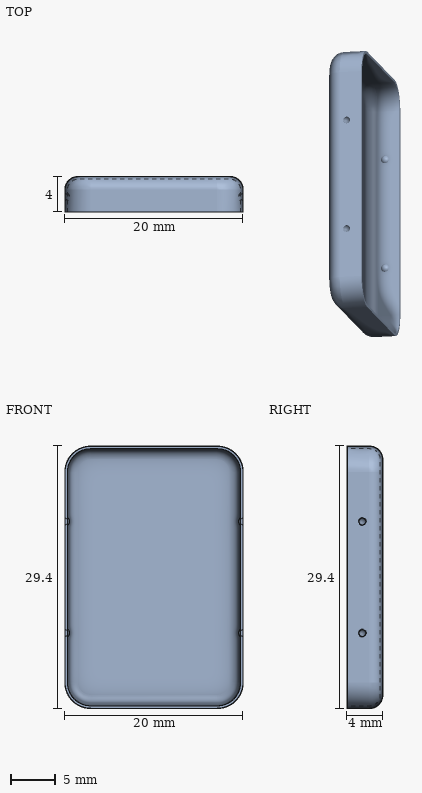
import cadquery as cq

width = 20.0
depth = 4.0
height = 29.4

wall = 0.3
corner_radius = 2.9
back_edge_radius = 1.5

recess_radius = 0.38
bump_radius = 0.53
dimple_setback = 1.7
dimple_spacing = 12.5

front_y = -depth / 2
dimple_y = front_y + dimple_setback
dimple_centers = [
    (side * width / 2, dimple_y, end * dimple_spacing / 2)
    for side in (-1, 1)
    for end in (-1, 1)
]


def rounded_block(inset):
    """Block inset from the outer surface, rounded at its corners and back edge."""
    return (
        cq.Workplane("XZ", origin=(0, front_y, 0))
        .rect(width - 2 * inset, height - 2 * inset)
        .extrude(-(depth - inset))
        .edges("|Y")
        .fillet(corner_radius - inset)
        .faces(">Y")
        .edges()
        .fillet(back_edge_radius - inset)
    )


def balls(radius):
    """One ball at each dimple, centred on the outer face of the side wall."""
    return cq.Workplane("XY").pushPoints(dimple_centers).sphere(radius, direct=(0, 1, 0))


cavity = rounded_block(wall).cut(balls(bump_radius))
result = rounded_block(0).cut(cavity).cut(balls(recess_radius))